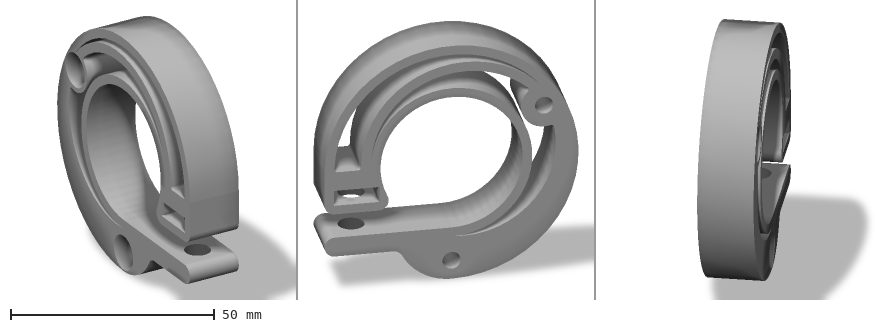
import cadquery as cq
import math

width = 14.0
outer_radius = 31.75
bore_radius = 17.8
wall = 2.4
inner_ring_radius = bore_radius + wall
arch_inner_radius = outer_radius - wall

spring_center = (-3.4, 0.95)
spring_inner_radius = 23.55
spring_outer_radius = 26.1
lower_gap_center = (-2.85, 2.85)
lower_gap_radius = 23.2
gap_corner_radius = 0.75

screw_pitch_radius = 26.75
upper_screw_angle = 150.0
lower_screw_angle = 270.0
screw_radius = 2.3
countersink_radius = 4.6
countersink_depth = countersink_radius - screw_radius
boss_radius = 5.8

jaw_bottom = -11.4
jaw_corner_radius = 2.55
slot_length = 11.3
slot_height = 4.05
slot_wall = 2.35
slot_center_x = outer_radius - slot_wall - slot_length / 2
slot_center_z = jaw_bottom + slot_wall + slot_height / 2
arm_thickness = 5.15
arm_end_radius = 2.55
arm_top = -bore_radius
arm_bottom = arm_top - arm_thickness
foot_radius = outer_radius - bore_radius
foot_fillet_radius = 2.55
bolt_radius = 3.3


def polar(radius, angle):
    """Return the X, Z point at an angle in degrees from +X."""
    turn = math.radians(angle)
    return radius * math.cos(turn), radius * math.sin(turn)


def disc(radius, center=(0, 0)):
    """Full-width disc in the XZ plane."""
    return cq.Workplane("XZ").center(*center).circle(radius).extrude(-width)


def block(x_min, x_max, z_min, z_max):
    """Full-width rectangular block."""
    size_x = x_max - x_min
    size_z = z_max - z_min
    return cq.Workplane("XY").box(size_x, width, size_z, centered=False).translate((x_min, 0, z_min))


def edges_near(solid, x, z, reach=0.65):
    """Select the edges along Y close to an X, Z point."""
    region = cq.selectors.BoxSelector((x - reach, -0.65, z - reach), (x + reach, width + 0.65, z + reach))
    return solid.edges("|Y").edges(region)


def make_jaw():
    jaw = block(bore_radius / 2, outer_radius, jaw_bottom, 0).cut(disc(bore_radius))
    bore_x_at_bottom = math.sqrt(bore_radius**2 - jaw_bottom**2)
    for corner_x in (bore_x_at_bottom, outer_radius):
        jaw = edges_near(jaw, corner_x, jaw_bottom).fillet(jaw_corner_radius)
    return jaw


def make_arm():
    """Arm and the round foot that carries it."""
    bar = block(0, outer_radius, arm_bottom, arm_top)
    bar = bar.edges("|Y and >X").fillet(arm_end_radius)
    foot = disc(foot_radius, (0, arm_top)).intersect(block(0, foot_radius, -outer_radius, arm_top))
    arm = bar.union(foot)
    foot_x_at_arm = math.sqrt(foot_radius**2 - arm_thickness**2)
    return edges_near(arm, foot_x_at_arm, arm_bottom).fillet(foot_fillet_radius)


def make_outer_gap():
    """Gap between the outer arch and the middle spring."""
    gap = disc(arch_inner_radius).cut(disc(spring_outer_radius, spring_center))
    gap = gap.intersect(block(-outer_radius, outer_radius, 0, outer_radius))
    spring_x, spring_z = spring_center
    spring_foot_x = spring_x + math.sqrt(spring_outer_radius**2 - spring_z**2)
    for corner_x in (spring_foot_x, arch_inner_radius):
        gap = edges_near(gap, corner_x, 0).fillet(gap_corner_radius)
    return gap


def make_inner_gap():
    """Gap around the inner ring; its outer wall changes circle behind the upper boss."""
    boss_center = polar(screw_pitch_radius, upper_screw_angle)
    above = block(-2 * outer_radius, 2 * outer_radius, 0, 2 * outer_radius)
    above = above.rotate((0, 0, 0), (0, 1, 0), 180 - upper_screw_angle)
    upper = disc(spring_inner_radius, spring_center).intersect(above)
    lower = disc(lower_gap_radius, lower_gap_center).cut(above)
    return upper.union(lower).cut(disc(inner_ring_radius)).cut(disc(boss_radius, boss_center))


def round_boss_corners(gap):
    """Round the corners where the boss meets the outer wall of the inner gap."""
    boss_x, boss_z = polar(screw_pitch_radius, upper_screw_angle)
    circles = ((spring_center, spring_inner_radius, 1), (lower_gap_center, lower_gap_radius, -1))
    for (center_x, center_z), radius, side in circles:
        dx = boss_x - center_x
        dz = boss_z - center_z
        distance = math.hypot(dx, dz)
        along = (distance**2 + radius**2 - boss_radius**2) / (2 * distance)
        across = side * math.sqrt(radius**2 - along**2)
        corner_x = center_x + (along * dx + across * dz) / distance
        corner_z = center_z + (along * dz - across * dx) / distance
        gap = edges_near(gap, corner_x, corner_z).fillet(gap_corner_radius)
    return gap


ring = disc(outer_radius).cut(block(0, outer_radius, -outer_radius, 0))
body = ring.cut(disc(bore_radius)).union(make_jaw()).union(make_arm())
body = body.cut(make_outer_gap()).cut(round_boss_corners(make_inner_gap()))

slot = block(
    slot_center_x - slot_length / 2,
    slot_center_x + slot_length / 2,
    slot_center_z - slot_height / 2,
    slot_center_z + slot_height / 2,
)
body = body.cut(slot)

bolt = (
    cq.Workplane("XY", origin=(slot_center_x, width / 2, arm_bottom))
    .circle(bolt_radius)
    .extrude(slot_center_z - arm_bottom)
)
body = body.cut(bolt)

screw_points = [polar(screw_pitch_radius, angle) for angle in (upper_screw_angle, lower_screw_angle)]
result = body
for screw_x, screw_z in screw_points:
    screw_hole = disc(screw_radius, (screw_x, screw_z))
    countersink = cq.Solid.makeCone(
        countersink_radius,
        screw_radius,
        countersink_depth,
        cq.Vector(screw_x, 0, screw_z),
        cq.Vector(0, 1, 0),
    )
    result = result.cut(screw_hole).cut(cq.Workplane(countersink))